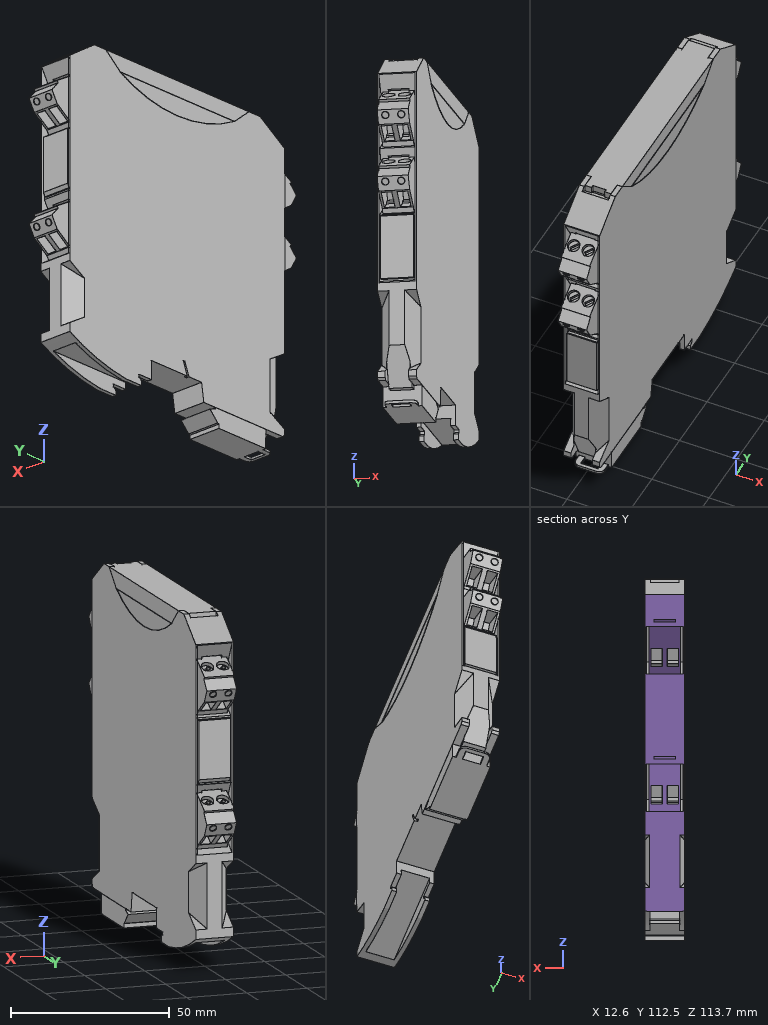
import cadquery as cq
import math

THICKNESS = 12.6
HEIGHT = 113.7
FACE_Y = 49.5
HALF_X = THICKNESS / 2
EPS = 1.1

UNDERSIDE_Z = 6.7
TOP_HALF_Y = 38.1
SHOULDER_Z = 106.3
RAIL_Z = 13.3
RAIL_BACK_Y = 11.9
RAIL_FRONT_TOP_Y = -11.1
RAIL_FRONT_BOTTOM_Y = -12.2
HOOK_START_Z = 11.1
HOOK_MIDDLE = (34.0, 5.1)
HOOK_END_Y = 23.5
HOOK_BOTTOM_Z = 3.2
HOOK_TIP_Y = 16.4
HOOK_TIP_Z = 5.0
HOOK_THROAT_Y = 17.6
HOOK_THROAT_Z = 5.8
HOOK_WALL = 1.6
HOOK_GAP_TOP_Z = 9.1
TOE_CHAMFER = 0.8
SLIT_TOP_Z = 18.1
SLIT_DEPTH = 1.1

POCKET_DEPTH = 6.8
RIB_HALF_X = 2.5
POCKET_TOP_Z = 35.6
POCKET_TOP_INNER_Z = 31.6
FRONT_POCKET_BOTTOM_INNER_Z = 13.3
FRONT_POCKET_BOTTOM_Z = 9.5
BACK_POCKET_BOTTOM_INNER_Z = 18.3
BACK_POCKET_BOTTOM_Z = 14.2

LEVER_HALF_X = 3.8
LEVER_TOP_Z = 17.9
LEVER_BOTTOM_Y = -43.7
LIP_BOTTOM_Z = 5.3

TILT = math.radians(30)
SLOT_PITCH = 21.6
SLOT_HALF_X = 5.8
SLOT_FLOOR_Z = 81.5
SLOT_OPENING = 24.5
SLOT_DEPTH = SLOT_OPENING / (math.tan(TILT) + 1 / math.tan(TILT))
SLOT_CORNER_Y = FACE_Y - SLOT_DEPTH
SLOT_CORNER_Z = SLOT_FLOOR_Z + SLOT_DEPTH * math.tan(TILT)
FRONT_PLUGS = (0, 1)
BACK_PLUGS = (0, 2)
FRONT_BLANK = 2
BACK_BLANK = 1
BLANK_DEPTH = 1.4
PANEL_RISE = 1.3
PANEL_MARGIN = 0.6

PLUG_WIDTH = 10.0
PLUG_TOP = 15.3
PLUG_REACH = 12.5
PLUG_PROFILE = [
    (0, 0),
    (9.4, 0),
    (9.4, 1.7),
    (PLUG_REACH, 8.3),
    (PLUG_REACH, 13.1),
    (8.4, 14.4),
    (8.6, PLUG_TOP),
    (0, PLUG_TOP),
]
TAB_HALF_X = 3.3
TAB_LENGTH = 1.1
TAB_HEIGHT = 1.1
TAB_CLEARANCE = 0.8
POLE_X = 2.56
SCREW_U = 3.9
SCREW_DIAMETER = 4.0
SCREW_DEPTH = 1.4
DRIVER_SLOT_LENGTH = 2.8
DRIVER_SLOT_WIDTH = 1.1
DRIVER_SLOT_DEPTH = 1.1
DRIVER_SLOT_ANGLE = 45.0
PROBE_W = 11.3
PROBE_DIAMETER = 2.3
PROBE_DEPTH = 0.3
WIRE_WIDTH = 3.4
WIRE_BOTTOM_W = 2.0
WIRE_TOP_W = 7.7
WIRE_INNER_U = 3.4
WIRE_STEP_U = 5.5
WIRE_STEP = 0.6

LID_HALF_Y = 33.0
LID_BEND_Y = 26.3
LID_BEND_Z = 108.1
LID_LOWEST_Z = 101.5
TONGUE_HALF_X = 4.5
TONGUE_HALF_Y = 37.5
GRIP_INSET = 0.1
NOTCH_OUTER_Y = 39.6
FINGER_INNER_Y = 36.5
FINGER_HALF_X = 2.3
NOTCH_SLOPE = (HEIGHT - SHOULDER_Z) / (FACE_Y - TOP_HALF_Y)
NOTCH_RIM_Z = HEIGHT - (NOTCH_OUTER_Y - TOP_HALF_Y) * NOTCH_SLOPE
TONGUE_BOTTOM_Z = NOTCH_RIM_Z - (NOTCH_OUTER_Y - TONGUE_HALF_Y) * NOTCH_SLOPE

FOOT_FRONT_Y = -40.7
FOOT_NOSE = [
    (-17.6, UNDERSIDE_Z),
    (-17.6, 6.3),
    (-15.0, 5.3),
    (-18.5, 1.7),
    (-19.1, 1.5),
    (-19.1, 0),
]
PULL_TIP_Y = -45.1
PULL_WIDTH = 10.2
PULL_THICKNESS = 0.9
PULL_CORNER = 2.0
EYE_WIDTH = 5.9
EYE_LENGTH = 3.1


def side_prism(points, half_x=HALF_X):
    """Prism of a (Y, Z) outline, centred on X = 0."""
    return cq.Workplane("YZ").polyline(points).close().extrude(half_x, both=True)


def turned(shape):
    """The shape carried from the -Y face to the +Y face."""
    return shape.rotate((0, 0, 0), (0, 0, 1), 180)


def slot_plane(slot):
    """Tilted plane at the inner corner of a -Y slot: x outward along the floor, y up the back wall."""
    return cq.Plane(
        origin=(0, -SLOT_CORNER_Y, SLOT_CORNER_Z - slot * SLOT_PITCH),
        xDir=(0, -math.cos(TILT), -math.sin(TILT)),
        normal=(-1, 0, 0),
    )


def housing_outline():
    """Closed side outline of the housing, from the top chamfers down to the rail notch."""
    return (
        cq.Workplane("YZ")
        .moveTo(-TOP_HALF_Y, HEIGHT)
        .lineTo(TOP_HALF_Y, HEIGHT)
        .lineTo(FACE_Y, SHOULDER_Z)
        .lineTo(FACE_Y, HOOK_START_Z)
        .threePointArc(HOOK_MIDDLE, (HOOK_END_Y, HOOK_BOTTOM_Z))
        .lineTo(HOOK_TIP_Y, HOOK_BOTTOM_Z)
        .lineTo(HOOK_TIP_Y, HOOK_TIP_Z)
        .lineTo(HOOK_THROAT_Y, HOOK_THROAT_Z)
        .lineTo(HOOK_THROAT_Y, UNDERSIDE_Z)
        .lineTo(RAIL_BACK_Y, UNDERSIDE_Z)
        .lineTo(RAIL_BACK_Y, RAIL_Z)
        .lineTo(RAIL_FRONT_TOP_Y, RAIL_Z)
        .lineTo(RAIL_FRONT_BOTTOM_Y, UNDERSIDE_Z)
        .lineTo(-FACE_Y + TOE_CHAMFER, UNDERSIDE_Z)
        .lineTo(-FACE_Y, UNDERSIDE_Z + TOE_CHAMFER)
        .lineTo(-FACE_Y, SHOULDER_Z)
        .close()
    )


def corner_pockets(bottom_inner_z, bottom_z):
    """Pair of wedge pockets at the -Y edges, leaving a tapered rib between them."""
    inner_y = -FACE_Y + POCKET_DEPTH
    top_slope = (POCKET_TOP_Z - POCKET_TOP_INNER_Z) / POCKET_DEPTH
    bottom_slope = (bottom_inner_z - bottom_z) / POCKET_DEPTH
    window = side_prism(
        [
            (inner_y, POCKET_TOP_INNER_Z),
            (inner_y, bottom_inner_z),
            (-FACE_Y - EPS, bottom_z - bottom_slope * EPS),
            (-FACE_Y - EPS, POCKET_TOP_Z + top_slope * EPS),
        ],
        HALF_X + EPS,
    )
    rib = (
        cq.Workplane("XY")
        .polyline(
            [
                (-HALF_X, inner_y),
                (-RIB_HALF_X, -FACE_Y),
                (-RIB_HALF_X, -FACE_Y - 2 * EPS),
                (RIB_HALF_X, -FACE_Y - 2 * EPS),
                (RIB_HALF_X, -FACE_Y),
                (HALF_X, inner_y),
            ]
        )
        .close()
        .extrude(HEIGHT)
    )
    return window.cut(rib)


def lever_gap():
    """Space in front of the sloped face that runs down between the two ears."""
    return side_prism(
        [
            (-FACE_Y, LEVER_TOP_Z),
            (LEVER_BOTTOM_Y, LIP_BOTTOM_Z),
            (-FACE_Y - EPS, LIP_BOTTOM_Z),
            (-FACE_Y - EPS, LEVER_TOP_Z),
        ],
        LEVER_HALF_X,
    )


def front_lip():
    """Lip under the housing that hangs in front of the foot."""
    return side_prism(
        [
            (FOOT_FRONT_Y, UNDERSIDE_Z + EPS),
            (FOOT_FRONT_Y, LIP_BOTTOM_Z),
            (-FACE_Y, LIP_BOTTOM_Z),
            (-FACE_Y, UNDERSIDE_Z + EPS),
        ],
        LEVER_HALF_X,
    )


def tab_prism(plane, wall_top):
    """Latching tab behind the slot back wall; its top slopes up to wall_top at the wall."""
    return (
        cq.Workplane(plane)
        .polyline(
            [
                (0, PLUG_TOP - TAB_HEIGHT),
                (-TAB_LENGTH, PLUG_TOP - TAB_HEIGHT),
                (-TAB_LENGTH, PLUG_TOP),
                (0, wall_top),
            ]
        )
        .close()
        .extrude(TAB_HALF_X, both=True)
    )


def plug_slot(slot):
    """Square-cornered slot, tilted to open as a triangle on the -Y face, with a seat for the tab."""
    plane = slot_plane(slot)
    opening = (
        cq.Workplane(plane)
        .rect(SLOT_OPENING, SLOT_OPENING, centered=False)
        .extrude(SLOT_HALF_X, both=True)
    )
    return opening.union(tab_prism(plane, PLUG_TOP + TAB_CLEARANCE))


def blank_slot(slot):
    """Shallow recess of an unused slot, with sloped ends around a raised flat panel."""
    floor_z = SLOT_FLOOR_Z - slot * SLOT_PITCH
    inner_y = -FACE_Y + BLANK_DEPTH
    panel_bottom_z = floor_z + BLANK_DEPTH * math.tan(TILT)
    recess = side_prism(
        [
            (-FACE_Y, floor_z),
            (inner_y, panel_bottom_z),
            (inner_y, panel_bottom_z + SLOT_PITCH),
            (-FACE_Y, floor_z + SLOT_PITCH),
        ],
        SLOT_HALF_X,
    )
    panel = cq.Workplane("XY").box(
        2 * (SLOT_HALF_X - PANEL_MARGIN), 2 * PANEL_RISE, SLOT_PITCH - 2 * PANEL_MARGIN
    )
    return recess.cut(panel.translate((0, inner_y, panel_bottom_z + SLOT_PITCH / 2)))


def hook_gap():
    """Open space between the two side walls that carry the rail hook."""
    return side_prism(
        [
            (RAIL_BACK_Y, 0),
            (FACE_Y, 0),
            (FACE_Y, HOOK_GAP_TOP_Z),
            (RAIL_BACK_Y, HOOK_GAP_TOP_Z),
        ],
        HALF_X - HOOK_WALL,
    )


def rail_slit():
    """Narrow leaning slit in the -X side that rises from the ceiling of the rail notch."""
    outline = [(-4.5, RAIL_Z), (-2.7, SLIT_TOP_Z), (-3.4, SLIT_TOP_Z), (-5.3, RAIL_Z)]
    slit = cq.Workplane("YZ", origin=(-HALF_X, 0, 0)).polyline(outline).close()
    return slit.extrude(SLIT_DEPTH)


def lid_notch(inner_y, half_x):
    """Wedge at the -Y end of the lid; its floor falls from the chamfer edge inward to inner_y."""
    floor_z = NOTCH_RIM_Z - (NOTCH_OUTER_Y - inner_y) * NOTCH_SLOPE
    return side_prism(
        [
            (-inner_y, floor_z),
            (-inner_y, HEIGHT + EPS),
            (-NOTCH_OUTER_Y, HEIGHT + EPS),
            (-NOTCH_OUTER_Y, NOTCH_RIM_Z),
        ],
        half_x,
    )


def lid_space():
    """Space in the housing that the lid fills: a full-width sag and a narrow tongue at each end."""
    sag = (
        cq.Workplane("YZ")
        .moveTo(-LID_HALF_Y, HEIGHT)
        .lineTo(LID_HALF_Y, HEIGHT)
        .lineTo(LID_BEND_Y, LID_BEND_Z)
        .threePointArc((0, LID_LOWEST_Z), (-LID_BEND_Y, LID_BEND_Z))
        .close()
        .extrude(HALF_X, both=True)
    )
    tongues = (
        cq.Workplane("XY", origin=(0, 0, TONGUE_BOTTOM_Z))
        .rect(2 * TONGUE_HALF_X, 2 * TONGUE_HALF_Y)
        .extrude(HEIGHT - TONGUE_BOTTOM_Z)
    )
    return sag.union(tongues)


def make_lid():
    """Lid with inset grips on both sides and a finger notch at its -Y end."""
    lid = lid_space()
    grip_height = LID_BEND_Z - LID_LOWEST_Z
    for side in (-1, 1):
        grip = cq.Workplane("XY").box(2 * GRIP_INSET, 2 * LID_HALF_Y, grip_height)
        lid = lid.cut(grip.translate((side * HALF_X, 0, LID_LOWEST_Z + grip_height / 2)))
    return lid.cut(lid_notch(FINGER_INNER_Y, FINGER_HALF_X))




def wire_opening(plane, x):
    """Square wire funnel with a raised floor at its inner end."""
    return (
        cq.Workplane(plane)
        .moveTo(WIRE_INNER_U, WIRE_BOTTOM_W + WIRE_STEP)
        .lineTo(WIRE_STEP_U, WIRE_BOTTOM_W + WIRE_STEP)
        .lineTo(WIRE_STEP_U, WIRE_BOTTOM_W)
        .lineTo(PLUG_REACH + EPS, WIRE_BOTTOM_W)
        .lineTo(PLUG_REACH + EPS, WIRE_TOP_W)
        .lineTo(WIRE_INNER_U, WIRE_TOP_W)
        .close()
        .extrude(WIRE_WIDTH / 2, both=True)
        .translate((x, 0, 0))
    )


def face_plane(plane, u, w, x, normal):
    """Plane on an outer plug face at (u, w) of the slot plane, shifted to the pole at x."""
    centre = plane.toWorldCoords((u, w, 0)) + cq.Vector(x, 0, 0)
    return cq.Plane(origin=centre, xDir=(1, 0, 0), normal=normal)


def screw_recess(plane, x):
    """Round recess down to the screw head, with the driver slot of the screw below it."""
    screw_plane = face_plane(plane, SCREW_U, PLUG_TOP, x, plane.yDir)
    recess = cq.Workplane(screw_plane).circle(SCREW_DIAMETER / 2).extrude(-SCREW_DEPTH)
    driver_slot = (
        cq.Workplane(screw_plane)
        .transformed(rotate=(0, 0, DRIVER_SLOT_ANGLE))
        .rect(DRIVER_SLOT_LENGTH, DRIVER_SLOT_WIDTH)
        .extrude(-SCREW_DEPTH - DRIVER_SLOT_DEPTH)
    )
    return recess.union(driver_slot)


def probe_hole(plane, x):
    """Shallow round test-probe hole in the nose."""
    probe_plane = face_plane(plane, PLUG_REACH, PROBE_W, x, plane.xDir)
    return cq.Workplane(probe_plane).circle(PROBE_DIAMETER / 2).extrude(-PROBE_DEPTH)


def make_plug(slot):
    """Two-pole screw plug in a -Y slot."""
    plane = slot_plane(slot)
    plug = cq.Workplane(plane).polyline(PLUG_PROFILE).close().extrude(PLUG_WIDTH / 2, both=True)
    plug = plug.union(tab_prism(plane, PLUG_TOP))
    for x in (-POLE_X, POLE_X):
        plug = plug.cut(wire_opening(plane, x)).cut(screw_recess(plane, x)).cut(probe_hole(plane, x))
    return plug


def make_foot():
    """Sliding rail latch with a flat pull tab."""
    slide = side_prism([*FOOT_NOSE, (FOOT_FRONT_Y, 0), (FOOT_FRONT_Y, UNDERSIDE_Z)])
    pull = (
        cq.Workplane("XY", origin=(0, (FOOT_FRONT_Y + PULL_TIP_Y) / 2, 0))
        .rect(PULL_WIDTH, FOOT_FRONT_Y - PULL_TIP_Y)
        .extrude(PULL_THICKNESS)
        .edges("|Z and <Y")
        .fillet(PULL_CORNER)
    )
    eye = (
        cq.Workplane("XY", origin=(0, FOOT_FRONT_Y - EYE_LENGTH / 2, 0))
        .rect(EYE_WIDTH, EYE_LENGTH)
        .extrude(PULL_THICKNESS)
    )
    return slide.union(pull.cut(eye))


def make_housing():
    """Housing block with all its slots, pockets and the seat of the lid."""
    housing = housing_outline().extrude(HALF_X, both=True)
    housing = housing.union(front_lip()).cut(lever_gap())
    housing = housing.cut(hook_gap()).cut(rail_slit())
    housing = housing.cut(corner_pockets(FRONT_POCKET_BOTTOM_INNER_Z, FRONT_POCKET_BOTTOM_Z))
    back_pockets = corner_pockets(BACK_POCKET_BOTTOM_INNER_Z, BACK_POCKET_BOTTOM_Z)
    housing = housing.cut(turned(back_pockets))
    for slot in FRONT_PLUGS:
        housing = housing.cut(plug_slot(slot))
    for slot in BACK_PLUGS:
        housing = housing.cut(turned(plug_slot(slot)))
    housing = housing.cut(blank_slot(FRONT_BLANK))
    housing = housing.cut(turned(blank_slot(BACK_BLANK)))
    housing = housing.cut(lid_space())
    end_notch = lid_notch(TONGUE_HALF_Y, TONGUE_HALF_X)
    finger_notch = lid_notch(FINGER_INNER_Y, FINGER_HALF_X)
    return housing.cut(end_notch.union(finger_notch)).cut(turned(end_notch))


housing = make_housing()
lid = make_lid()
foot = make_foot()
plugs = [make_plug(slot) for slot in FRONT_PLUGS]
plugs += [turned(make_plug(slot)) for slot in BACK_PLUGS]

result = cq.Compound.makeCompound(
    [housing.val(), lid.val(), foot.val(), *[plug.val() for plug in plugs]]
)